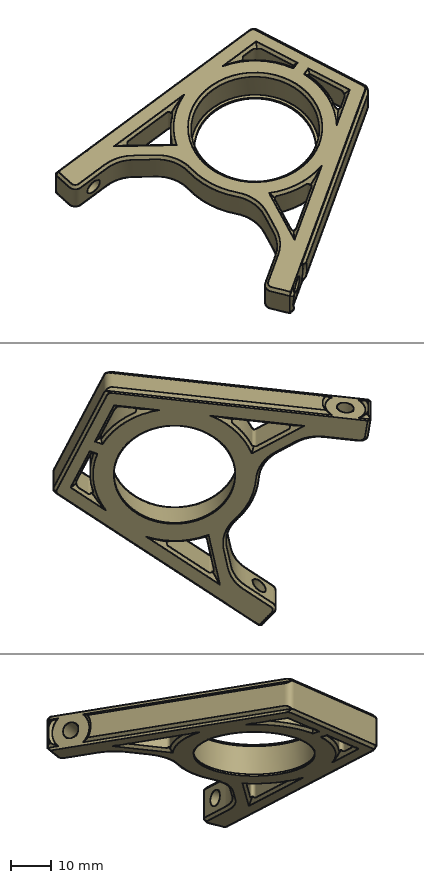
import cadquery as cq
import math

thickness = 9.0
chamfer = 0.8
top_y = 25.9
leg_tilt = 15.6
strut_slope = 33.7

rail_offset = 23.65
plate_offset = rail_offset - chamfer
leg_inner_offset = 15.9
window_side_offset = 18.45
leg_end = 46.15

strut_offset = 8.6
strut_width = 4.4
strut_top_offset = strut_offset - strut_width
top_bar_width = 4.4
rib_half_width = 2.4
window_fillet = 0.8
bevel_depth = 2 * chamfer

ring_radius = 21.05
bore_radius = 15.95
lip_radius = 15.1
lip_height = 0.5

junction_fillet = 10.0
corner_fillet = 2.0

screw_along_leg = 39.8
screw_diameter = 4.2
seat_radius = 5.05

half_thickness = thickness / 2
tilt = math.radians(leg_tilt)
slope = math.radians(strut_slope)

leg_normal = (-math.cos(tilt), math.sin(tilt))
leg_direction = (-math.sin(tilt), -math.cos(tilt))
strut_normal = (math.sin(slope), -math.cos(slope))


def leg_point(offset, along):
    """Point at a distance square to the left leg and a distance along it."""
    return (
        offset * leg_normal[0] + along * leg_direction[0],
        offset * leg_normal[1] + along * leg_direction[1],
    )


def crossing(normal_a, offset_a, normal_b, offset_b):
    """Crossing of two lines, each given by its unit normal and distance from the origin."""
    determinant = normal_a[0] * normal_b[1] - normal_a[1] * normal_b[0]
    x = (offset_a * normal_b[1] - offset_b * normal_a[1]) / determinant
    y = (normal_a[0] * offset_b - normal_b[0] * offset_a) / determinant
    return (x, y)


def strut_ring_point(offset):
    """Point where a line along the left strut, at a distance from the bore axis, leaves the ring."""
    reach = math.sqrt(ring_radius**2 - offset**2)
    return (
        offset * strut_normal[0] - reach * math.cos(slope),
        offset * strut_normal[1] - reach * math.sin(slope),
    )


def with_mirror(body):
    """The body together with its mirror image across the YZ plane."""
    return body.union(body.mirror("YZ"))


def leg_plane(offset):
    """Plane square to the left leg, its X along the leg and its normal outwards."""
    return cq.Plane(
        origin=(*leg_point(offset, 0), 0),
        xDir=(*leg_direction, 0),
        normal=(*leg_normal, 0),
    )


def nearest(point):
    """Selector of the vertical edge at a point of the XY plane."""
    return cq.selectors.NearestToPointSelector((*point, 0))


def fillet_pair(body, point, radius):
    """Round the vertical edges at a point and at its mirror image."""
    mirror_point = (-point[0], point[1])
    return body.edges(nearest(point)).fillet(radius).edges(nearest(mirror_point)).fillet(radius)


top_corner = crossing(leg_normal, rail_offset, (0, 1), top_y)
strut_root = crossing(leg_normal, leg_inner_offset, strut_normal, strut_offset)
strut_apex = (0, -strut_offset / math.cos(slope))
inner_tip = leg_point(leg_inner_offset, leg_end)
half_outline = [top_corner, leg_point(rail_offset, leg_end), inner_tip, strut_root]
outline = half_outline + [strut_apex] + [(-x, y) for x, y in reversed(half_outline)]

frame = cq.Workplane("XY").polyline(outline).close().extrude(half_thickness, both=True)
ring = cq.Workplane("XY").circle(ring_radius).extrude(half_thickness, both=True)
frame = frame.union(ring)

ring_junction = strut_ring_point(strut_offset)
for corner, radius in (
    (strut_root, junction_fillet),
    (ring_junction, junction_fillet),
    (inner_tip, corner_fillet),
    (top_corner, corner_fillet),
):
    frame = fillet_pair(frame, corner, radius)
frame = frame.faces("|Z").edges().chamfer(chamfer)

rail_start = -2 * top_y
side = leg_plane(plate_offset)
rail_length = leg_end - rail_start
side_zone = (
    cq.Workplane(side).center(leg_end - rail_length / 2, 0)
    .rect(rail_length + 2 * thickness, 2 * thickness).extrude(thickness)
)
rail = (
    cq.Workplane(side).center(leg_end - rail_length / 2, 0)
    .rect(rail_length, thickness - 2 * chamfer).extrude(chamfer, taper=45)
)
frame = frame.cut(with_mirror(side_zone.cut(rail)))

bore = cq.Workplane("XY").circle(lip_radius).extrude(half_thickness, both=True)
bore = bore.union(
    cq.Workplane("XY").workplane(offset=lip_height - half_thickness)
    .circle(bore_radius).extrude(thickness - lip_height)
)
bore = bore.union(
    cq.Workplane("XY").workplane(offset=half_thickness)
    .circle(bore_radius + chamfer).extrude(-chamfer, taper=45)
)
frame = frame.cut(bore)


def upper_window_corners(spread):
    """Corners of the window beside the rib, its edges moved outwards by spread."""
    bar_edge = top_y - top_bar_width + spread
    rib_edge = spread - rib_half_width
    side_edge = window_side_offset + spread
    return [
        (rib_edge, bar_edge),
        crossing(leg_normal, side_edge, (0, 1), bar_edge),
        leg_point(side_edge, 0),
        (rib_edge, 0),
    ]


def lower_window_corners(spread):
    """Corners of the window above the strut, its edges moved outwards by spread."""
    side_edge = window_side_offset + spread
    strut_edge = strut_top_offset + spread
    return [
        crossing(leg_normal, side_edge, strut_normal, strut_edge),
        leg_point(side_edge, 0),
        (0, 0),
        (0, -strut_edge / math.cos(slope)),
    ]


def window(corners, fillets):
    """Cutter for one window, bounded on its inner side by the ring.

    Each fillet is a pair: a place on a corner of the opening and the radius there.
    """
    opening = (
        cq.Workplane("XY").polyline(corners(0)).close()
        .extrude(half_thickness, both=True).cut(ring)
    )
    for place, radius in fillets:
        opening = opening.edges(nearest(place)).fillet(radius)
    bevel = (
        cq.Workplane("XY").workplane(offset=half_thickness)
        .polyline(corners(chamfer)).close().extrude(-bevel_depth, taper=45)
    )
    ring_bevel = (
        cq.Workplane("XY").workplane(offset=half_thickness - bevel_depth)
        .circle(ring_radius - chamfer + bevel_depth).extrude(bevel_depth, taper=45)
    )
    bevel = bevel.cut(ring_bevel)
    return opening.union(bevel).union(bevel.mirror("XY"))


side_reach = math.sqrt(ring_radius**2 - window_side_offset**2)
upper_fillets = [
    (upper_window_corners(0)[1], corner_fillet),
    (leg_point(window_side_offset, -side_reach), window_fillet),
]
lower_fillets = [
    (lower_window_corners(0)[0], window_fillet),
    (leg_point(window_side_offset, side_reach), window_fillet),
    (strut_ring_point(strut_top_offset), window_fillet),
]
frame = frame.cut(with_mirror(window(upper_window_corners, upper_fillets)))
frame = frame.cut(with_mirror(window(lower_window_corners, lower_fillets)))

seat = (
    cq.Workplane(side).center(screw_along_leg, 0)
    .circle(seat_radius).extrude(2 * chamfer, taper=-45)
)
screw_hole = (
    cq.Workplane(leg_plane(rail_offset)).center(screw_along_leg, 0)
    .circle(screw_diameter / 2).extrude(-2 * (rail_offset - leg_inner_offset))
)
result = frame.cut(with_mirror(seat.union(screw_hole)))